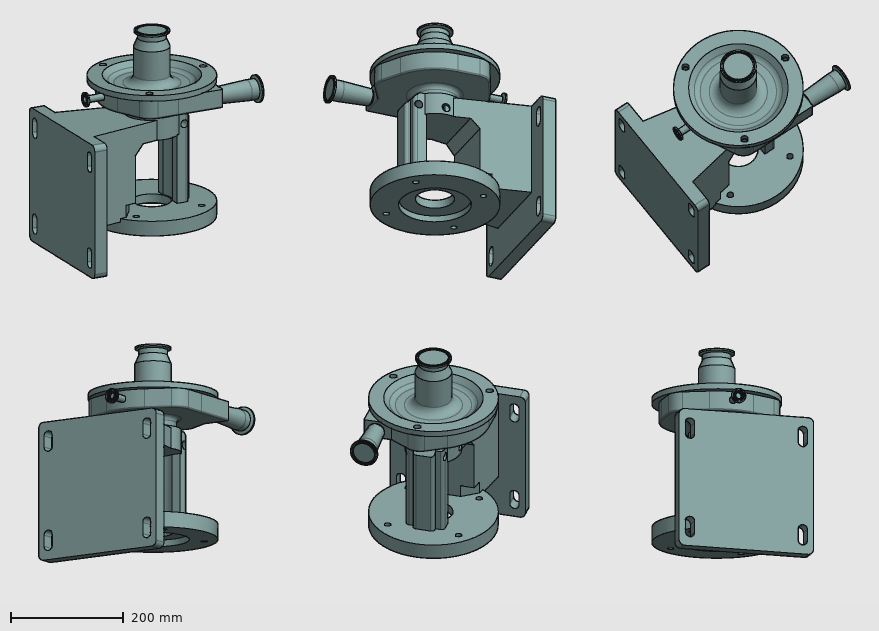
import cadquery as cq
import math

total_height = 403.0
outlet_end_y = 170.0

plate_side = 250.0
plate_thickness = 25.0
plate_back_y = -179.7
plate_front_y = plate_back_y + plate_thickness
plate_corner_radius = 10.0
slot_length = 37.0
slot_width = 17.0
slot_spacing_x = 209.5
slot_spacing_z = 179.7

disc_radius = 115.3
disc_bottom = 55.2
disc_top = 83.0
disc_bore_radius = 34.5
disc_recess_radius = 64.5
disc_recess_top = 67.0
disc_bolt_circle_radius = 92.5
disc_bolt_hole_radius = 5.5
disc_bolt_count = 4

hub_radius = 50.5
hub_bottom = 212.5
hub_top = 253.5
neck_radius = 42.0
neck_fillet = 9.0
hub_hole_radius = 7.5
hub_hole_z = 226.0

arm_bottom = 77.0
arm_front_half_width = 45.0
arm_rear_half_width = 75.0
arm_inner_y = -62.5
arm_slope_top_y = -45.5
arm_slope_bottom = 194.0
arm_notch_top = 105.0
arm_notch_depth_y = 21.0
arm_notch_angle = 54.0

post_half_width = 36.0
post_front_y = 32.0
post_back_y = 56.0
post_bore_radius = 37.0
post_corner_radius = 7.0
rib_half_width = 20.0
rib_back_y = 66.0
post_top_cut_y = 20.5
post_top_cut_z = 17.5
cross_hole_radius = 7.3
cross_hole_y = 46.7
cross_hole_z = 230.0

casing_bottom = 273.5
casing_top = 308.3
casing_upper_radius = 102.8
casing_lower_radius = 98.5
casing_bottom_fillet = 2.5
lobe_radius = 30.2
lobe_center_distance = 84.0
lobe_angles = (90, 210, 330)
outlet_block_end_y = 89.0

flange_radius = 115.3
flange_top = 318.8
cover_bolt_circle_radius = 102.8
cover_hole_radius = 6.5
tapped_hole_radius = 5.2
tapped_hole_depth = 10.0
bowl_depth = 15.0
bowl_rim_radius = 88.3
bowl_wall_bottom_radius = 78.0
bowl_wall_depth = 10.0
bowl_floor_outer_radius = 67.7
bowl_floor_inner_radius = 51.5

inlet_radius = 32.5
inlet_cone_bottom = 372.5
inlet_cone_top = 388.5
inlet_end_radius = 25.8
inlet_ferrule_radius = 32.0

outlet_x = 79.5
outlet_z = 289.8
outlet_root_length = 2.5
outlet_root_radius = 13.7
outlet_start_radius = 15.7
outlet_end_radius = 19.0
outlet_straight_length = 20.5
outlet_ferrule_radius = 25.0

drain_z = 293.0
drain_radius = 6.5
drain_root_y = -80.5
drain_end_y = -134.0
drain_ferrule_radius = 13.0
drain_bore_radius = 5.5
drain_bore_depth = 5.2

ferrule_rim = 3.2
ferrule_back = 2.0
groove_depth = 1.2
groove_width = 2.5
groove_edge = 3.0


def polar(radius, angle):
    """Point at a radius and an angle in degrees about the pump axis."""
    return (radius * math.cos(math.radians(angle)), radius * math.sin(math.radians(angle)))


def cylinder(radius, bottom, top):
    return cq.Workplane("XY").workplane(offset=bottom).circle(radius).extrude(top - bottom)


def block(x_min, x_max, y_min, y_max, z_min, z_max):
    size = (x_max - x_min, y_max - y_min, z_max - z_min)
    return cq.Workplane("XY").box(*size, centered=False).translate((x_min, y_min, z_min))


def revolve_profile(points):
    """Turn a closed (radius, z) outline about the Z axis."""
    return cq.Workplane("XZ").polyline(points).close().revolve(360, (0, 0, 0), (0, 1, 0))


def ferrule_pipe(wall, end, rim_radius):
    """Pipe along +Z with a clamp ferrule at its end.

    wall lists the (radius, z) points of the pipe surface up to the ferrule.
    """
    neck = wall[-1][0]
    back = end - ferrule_rim
    points = [(0, wall[0][1])] + wall
    points += [(neck, back - ferrule_back), (rim_radius, back), (rim_radius, end), (0, end)]
    groove_outer = rim_radius - groove_edge
    groove = (
        cylinder(groove_outer, end - groove_depth, end)
        .cut(cylinder(groove_outer - groove_width, end - groove_depth, end))
    )
    return revolve_profile(points).cut(groove)


def make_plate():
    half_side = plate_side / 2
    plate = (
        block(-half_side, half_side, plate_back_y, plate_front_y, 0, plate_side)
        .edges("|Y").fillet(plate_corner_radius)
    )
    slots = (
        cq.Workplane("XZ", origin=(0, plate_front_y, half_side))
        .rarray(slot_spacing_x, slot_spacing_z, 2, 2)
        .slot2D(slot_length, slot_width, 90)
        .extrude(plate_thickness)
    )
    return plate.cut(slots)


def make_disc():
    disc = cylinder(disc_radius, disc_bottom, disc_top)
    disc = disc.cut(cylinder(disc_bore_radius, disc_bottom, disc_top))
    disc = disc.cut(cylinder(disc_recess_radius, disc_bottom, disc_recess_top))
    bolt_holes = (
        cq.Workplane("XY", origin=(0, 0, disc_bottom))
        .polarArray(disc_bolt_circle_radius, 45, 360, disc_bolt_count)
        .circle(disc_bolt_hole_radius)
        .extrude(disc_top - disc_bottom)
    )
    return disc.cut(bolt_holes)


def make_arm():
    side_outline = [
        (0, plate_side),
        (plate_front_y, plate_side),
        (plate_front_y, arm_bottom),
        (arm_inner_y, arm_bottom),
        (arm_inner_y, arm_slope_bottom),
        (arm_slope_top_y, hub_bottom),
        (0, hub_bottom),
    ]
    plan_outline = [
        (-arm_front_half_width, 0),
        (arm_front_half_width, 0),
        (arm_rear_half_width, plate_front_y),
        (-arm_rear_half_width, plate_front_y),
    ]
    arm = cq.Workplane("YZ").polyline(side_outline).close().extrude(arm_rear_half_width, both=True)
    plan = cq.Workplane("XY").polyline(plan_outline).close().extrude(plate_side)
    arm = arm.intersect(plan)

    flare = (arm_rear_half_width - arm_front_half_width) / -plate_front_y
    notch_y = arm_inner_y - arm_notch_depth_y
    notch_x = arm_front_half_width - flare * notch_y
    notch_inner_x = notch_x - arm_notch_depth_y * math.tan(math.radians(arm_notch_angle))
    for side in (-1, 1):
        notch = (
            cq.Workplane("XY", origin=(0, 0, disc_top))
            .polyline([
                (side * notch_x, notch_y),
                (side * notch_x, arm_inner_y),
                (side * notch_inner_x, arm_inner_y),
            ])
            .close()
            .extrude(arm_notch_top - disc_top)
        )
        arm = arm.cut(notch)
    return arm


def make_post():
    column = (
        block(-post_half_width, post_half_width, post_front_y, post_back_y, disc_top, hub_top)
        .edges("|Z and >Y").fillet(post_corner_radius)
    )
    rib = (
        block(-rib_half_width, rib_half_width, post_front_y, rib_back_y, disc_top, hub_top)
        .edges("|Z and >Y").fillet(post_corner_radius)
    )
    top_cut = (
        cq.Workplane("YZ")
        .polyline([
            (rib_back_y, hub_top),
            (rib_back_y - post_top_cut_y, hub_top),
            (rib_back_y, hub_top - post_top_cut_z),
        ])
        .close()
        .extrude(post_half_width, both=True)
    )
    bore = cylinder(post_bore_radius, disc_top, hub_top)
    return column.union(rib).cut(bore).cut(top_cut)


def make_hub():
    hub = cylinder(hub_radius, hub_bottom, hub_top)

    side_hole = (
        cq.Workplane("YZ")
        .center(0, hub_hole_z)
        .circle(hub_hole_radius)
        .extrude(-hub_radius)
    )
    hub = hub.cut(side_hole.cut(cylinder(post_bore_radius, hub_bottom, hub_top)))

    neck_outline = (
        cq.Workplane("XZ")
        .moveTo(0, hub_top)
        .lineTo(neck_radius, hub_top)
        .lineTo(neck_radius, casing_bottom - neck_fillet)
        .radiusArc((neck_radius + neck_fillet, casing_bottom), neck_fillet)
        .lineTo(0, casing_bottom)
        .close()
    )
    return hub.union(neck_outline.revolve(360, (0, 0, 0), (0, 1, 0)))


def make_casing():
    """Round casing with three lobes, each joined to it by tangent flats.

    radii and turns describe the casing arc that follows each lobe.
    """
    upper_turn = math.degrees(math.acos((casing_upper_radius - lobe_radius) / lobe_center_distance))
    lower_turn = math.degrees(math.acos((casing_lower_radius - lobe_radius) / lobe_center_distance))
    radii = (casing_upper_radius, casing_lower_radius, casing_upper_radius)
    turns = (upper_turn, lower_turn, upper_turn)
    lobe_pitch = 360 / len(lobe_angles)

    def on_lobe(lobe_angle, normal_angle):
        center = polar(lobe_center_distance, lobe_angle)
        offset = polar(lobe_radius, normal_angle)
        return (center[0] + offset[0], center[1] + offset[1])

    start = polar(radii[-1], lobe_angles[0] - turns[-1])
    outline = cq.Workplane("XY", origin=(0, 0, casing_bottom)).moveTo(*start)
    for index, angle in enumerate(lobe_angles):
        turn_in = turns[index - 1]
        turn_out = turns[index]
        arc_start = angle + turn_out
        arc_end = angle + lobe_pitch - turn_out
        outline = (
            outline.lineTo(*on_lobe(angle, angle - turn_in))
            .threePointArc(on_lobe(angle, angle), on_lobe(angle, angle + turn_out))
            .lineTo(*polar(radii[index], arc_start))
            .threePointArc(
                polar(radii[index], (arc_start + arc_end) / 2),
                polar(radii[index], arc_end),
            )
        )
    casing = outline.close().extrude(casing_top - casing_bottom)
    outlet_block = block(0, casing_upper_radius, 0, outlet_block_end_y, casing_bottom, casing_top)
    outlet_block = outlet_block.edges("|Z and >X and >Y").fillet(casing_bottom_fillet)
    return casing.union(outlet_block).faces("<Z").edges().fillet(casing_bottom_fillet)


def make_bowl():
    """Ring-shaped hollow around the foot of the inlet pipe."""
    floor = flange_top - bowl_depth
    wall_bottom = flange_top - bowl_wall_depth
    outline = (
        cq.Workplane("XZ")
        .moveTo(inlet_radius, flange_top)
        .lineTo(bowl_rim_radius, flange_top)
        .lineTo(bowl_wall_bottom_radius, wall_bottom)
        .tangentArcPoint((bowl_floor_outer_radius, floor), relative=False)
        .lineTo(bowl_floor_inner_radius, floor)
        .tangentArcPoint((inlet_radius, flange_top), relative=False)
        .close()
    )
    return outline.revolve(360, (0, 0, 0), (0, 1, 0))


def cut_cover_holes(body):
    for angle in lobe_angles:
        x, y = polar(cover_bolt_circle_radius, angle)
        clearance = cylinder(cover_hole_radius, casing_top, flange_top)
        tapped = cylinder(tapped_hole_radius, casing_top - tapped_hole_depth, casing_top)
        body = body.cut(clearance.union(tapped).translate((x, y, 0)))
    return body


def make_inlet():
    wall = [
        (inlet_radius, flange_top - bowl_depth),
        (inlet_radius, inlet_cone_bottom),
        (inlet_end_radius, inlet_cone_top),
    ]
    return ferrule_pipe(wall, total_height, inlet_ferrule_radius)


def make_outlet():
    root = outlet_block_end_y + outlet_root_length
    wall = [
        (outlet_root_radius, 0),
        (outlet_root_radius, root),
        (outlet_start_radius, root),
        (outlet_end_radius, outlet_end_y - outlet_straight_length),
    ]
    pipe = ferrule_pipe(wall, outlet_end_y, outlet_ferrule_radius)
    return pipe.rotate((0, 0, 0), (1, 0, 0), -90).translate((outlet_x, 0, outlet_z))


def make_drain():
    length = -drain_end_y
    wall = [(drain_radius, -drain_root_y)]
    pipe = ferrule_pipe(wall, length, drain_ferrule_radius)
    pipe = pipe.cut(cylinder(drain_bore_radius, length - drain_bore_depth, length))
    return pipe.rotate((0, 0, 0), (1, 0, 0), 90).translate((0, 0, drain_z))


bracket = make_plate().union(make_disc()).union(make_arm()).union(make_post()).union(make_hub())
cross_hole = (
    cq.Workplane("YZ")
    .center(cross_hole_y, cross_hole_z)
    .circle(cross_hole_radius)
    .extrude(plate_side / 2, both=True)
)
bracket = bracket.cut(cross_hole)

pump = make_casing().union(cylinder(flange_radius, casing_top, flange_top)).cut(make_bowl())
pump = cut_cover_holes(pump)
for pipe in (make_inlet(), make_outlet(), make_drain()):
    pump = pump.union(pipe)

result = bracket.union(pump)